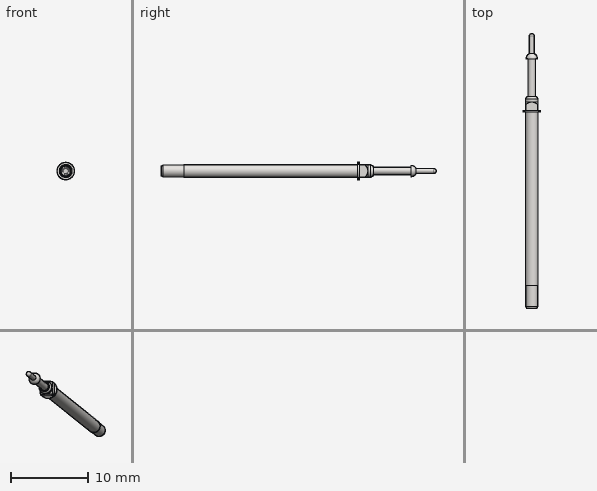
import cadquery as cq
import math

LENGTH = 35.7
TIP_END = LENGTH / 2
TAIL_END = -LENGTH / 2

PIN_RADIUS = 0.34
COLLAR_RADIUS = 0.75
STEM_RADIUS = 0.5
BARREL_RADIUS = 0.84
FLANGE_RADIUS = 1.15

COLLAR_BACK = 3.3
HEAD_FRONT = 8.18
FLANGE_FRONT = 10.0
FLANGE_THICKNESS = 0.2

NOSE_LENGTH = 0.35
NOSE_FRONT_RADIUS = 0.65
NECK_LENGTH = 0.35
SQUARE_WIDTH = 2 * BARREL_RADIUS
CORNER_RADIUS = FLANGE_RADIUS
CONE_ANGLE = 45.0

TAIL_LENGTH = 2.95
TAIL_RADIUS = 0.8
TAIL_CHAMFER_LENGTH = 0.25
TAIL_END_RADIUS = 0.65


def revolve_profile(profile):
    """Close a (radius, y) profile along the axis and turn it about Y."""
    return profile.close().revolve(360, (0, 0, 0), (0, 1, 0))


def make_plunger():
    collar_back_y = TIP_END - COLLAR_BACK
    collar_front_y = collar_back_y + math.sqrt(COLLAR_RADIUS**2 - PIN_RADIUS**2)
    collar_mid_angle = math.acos(PIN_RADIUS / COLLAR_RADIUS) / 2
    collar_arc_mid = (
        COLLAR_RADIUS * math.cos(collar_mid_angle),
        collar_back_y + COLLAR_RADIUS * math.sin(collar_mid_angle),
    )
    tip_arc_mid = (
        PIN_RADIUS * math.sin(math.pi / 4),
        TIP_END - PIN_RADIUS * (1 - math.cos(math.pi / 4)),
    )
    root_y = TIP_END - FLANGE_FRONT
    profile = (
        cq.Workplane("XY")
        .moveTo(0, TIP_END)
        .threePointArc(tip_arc_mid, (PIN_RADIUS, TIP_END - PIN_RADIUS))
        .lineTo(PIN_RADIUS, collar_front_y)
        .threePointArc(collar_arc_mid, (COLLAR_RADIUS, collar_back_y))
        .lineTo(STEM_RADIUS, collar_back_y)
        .lineTo(STEM_RADIUS, root_y)
        .lineTo(0, root_y)
    )
    return revolve_profile(profile)


def make_barrel():
    nose_y = TIP_END - HEAD_FRONT
    neck_y = nose_y - NOSE_LENGTH
    tail_y = TAIL_END + TAIL_LENGTH
    flange_front_y = TIP_END - FLANGE_FRONT
    flange_back_y = flange_front_y - FLANGE_THICKNESS
    profile = (
        cq.Workplane("XY")
        .moveTo(0, nose_y)
        .lineTo(NOSE_FRONT_RADIUS, nose_y)
        .lineTo(BARREL_RADIUS, neck_y)
        .lineTo(BARREL_RADIUS, flange_front_y)
        .lineTo(FLANGE_RADIUS, flange_front_y)
        .lineTo(FLANGE_RADIUS, flange_back_y)
        .lineTo(BARREL_RADIUS, flange_back_y)
        .lineTo(BARREL_RADIUS, tail_y)
        .lineTo(TAIL_RADIUS, tail_y)
        .lineTo(TAIL_RADIUS, TAIL_END + TAIL_CHAMFER_LENGTH)
        .lineTo(TAIL_END_RADIUS, TAIL_END)
        .lineTo(0, TAIL_END)
    )
    return revolve_profile(profile)


def make_square():
    """Square section in front of the flange, its corners turned to a cone and a cylinder."""
    front_y = TIP_END - HEAD_FRONT - NOSE_LENGTH - NECK_LENGTH
    back_y = TIP_END - FLANGE_FRONT
    length = front_y - back_y
    cone_length = (CORNER_RADIUS - BARREL_RADIUS) / math.tan(math.radians(CONE_ANGLE))
    turned = revolve_profile(
        cq.Workplane("XY")
        .moveTo(0, front_y)
        .lineTo(BARREL_RADIUS, front_y)
        .lineTo(CORNER_RADIUS, front_y - cone_length)
        .lineTo(CORNER_RADIUS, back_y)
        .lineTo(0, back_y)
    )
    square = cq.Workplane("XY").box(SQUARE_WIDTH, length, SQUARE_WIDTH)
    return turned.intersect(square.translate((0, (front_y + back_y) / 2, 0)))


result = make_barrel().union(make_square()).union(make_plunger())